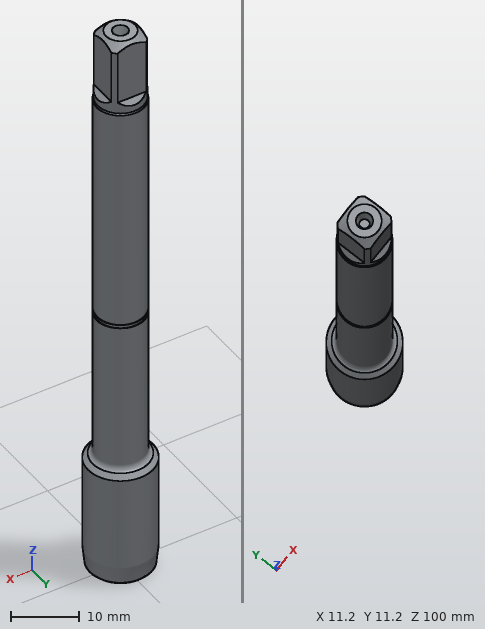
import cadquery as cq
import math

total_length = 100.0

head_diameter = 11.2
head_top = 20.0
lead_height = 3.7
lead_diameter = 10.6
tip_bevel = 0.7

shoulder_chamfer = 0.8
shoulder_fillet = 1.1
shank_diameter = 8.2
groove_diameter = 8.0
groove_bottom = 47.4
groove_width = 0.6
collar_bottom = 87.3
collar_step = 0.3
collar_diameter = 7.9

square_size = 6.2
square_bottom = 89.6
top_diameter = 5.0
top_bevel_height = 1.2

centre_diameter = 2.5
centre_drill_diameter = 1.6
countersink_depth = 1.5
centre_drill_depth = 2.5

head_radius = head_diameter / 2
lead_radius = lead_diameter / 2
shank_radius = shank_diameter / 2
groove_radius = groove_diameter / 2
collar_radius = collar_diameter / 2
shoulder_radius = head_radius - shoulder_chamfer
shoulder_top = head_top + shoulder_chamfer


def revolve_about_z(profile):
    """Turn a closed radius-height profile about the Z axis."""
    return profile.close().revolve(360, (0, 0), (0, 1))


def make_head():
    """Plain cylinder with a tapered lead and a bevelled bottom rim."""
    profile = (
        cq.Workplane("XZ")
        .moveTo(0, 0)
        .lineTo(lead_radius - tip_bevel, 0)
        .lineTo(lead_radius, tip_bevel)
        .lineTo(head_radius, lead_height)
        .lineTo(head_radius, head_top)
        .lineTo(0, head_top)
    )
    return revolve_about_z(profile)


def make_turned_shank():
    """Shank before milling: bevelled shoulder, inside round, cylinder, collar and top bevel."""
    fillet_centre_radius = shank_radius + shoulder_fillet
    start_angle = math.acos((fillet_centre_radius - shoulder_radius) / shoulder_fillet)
    fillet_centre_height = shoulder_top + shoulder_fillet * math.sin(start_angle)
    fillet_middle = (
        fillet_centre_radius - shoulder_fillet * math.cos(start_angle / 2),
        fillet_centre_height - shoulder_fillet * math.sin(start_angle / 2),
    )
    profile = (
        cq.Workplane("XZ")
        .moveTo(0, head_top)
        .lineTo(head_radius, head_top)
        .lineTo(shoulder_radius, shoulder_top)
        .threePointArc(fillet_middle, (shank_radius, fillet_centre_height))
        .lineTo(shank_radius, collar_bottom)
        .lineTo(collar_radius, collar_bottom + collar_step)
        .lineTo(collar_radius, total_length - top_bevel_height)
        .lineTo(top_diameter / 2, total_length)
        .lineTo(0, total_length)
    )
    return revolve_about_z(profile)


def make_groove_cutter():
    """Ring that cuts a shallow groove around the shank."""
    return (
        cq.Workplane("XY", origin=(0, 0, groove_bottom))
        .circle(head_radius)
        .circle(groove_radius)
        .extrude(groove_width)
    )


def make_flat_cutter(angle):
    """Removes one flat of the square, with its 45 degree run-out, at an angle about Z."""
    flat_distance = square_size / 2
    cut_depth = shank_radius
    return (
        cq.Workplane("XZ")
        .moveTo(flat_distance, total_length)
        .lineTo(flat_distance, square_bottom)
        .lineTo(flat_distance + cut_depth, square_bottom - cut_depth)
        .lineTo(flat_distance + cut_depth, total_length)
        .close()
        .extrude(shank_radius, both=True)
        .rotate((0, 0, 0), (0, 0, 1), angle)
    )


def make_centre_hole():
    """Countersunk blind drill hole in the top face."""
    profile = (
        cq.Workplane("XZ")
        .moveTo(0, total_length)
        .lineTo(centre_diameter / 2, total_length)
        .lineTo(centre_drill_diameter / 2, total_length - countersink_depth)
        .lineTo(centre_drill_diameter / 2, total_length - centre_drill_depth)
        .lineTo(0, total_length - centre_drill_depth)
    )
    return revolve_about_z(profile)


def make_shank():
    shank = make_turned_shank().cut(make_groove_cutter())
    for angle in (0, 90, 180, 270):
        shank = shank.cut(make_flat_cutter(angle))
    return shank.cut(make_centre_hole())


head = make_head()
shank = make_shank()
result = cq.Compound.makeCompound([head.val(), shank.val()])